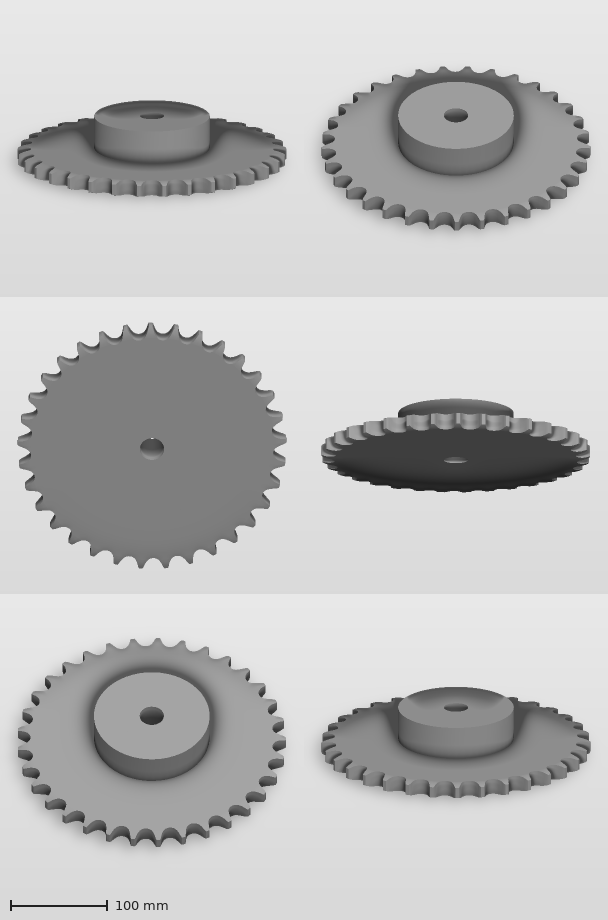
import cadquery as cq
import math

tooth_count = 33
outer_width = 278.3
tip_half_angle = 0.8
pitch_radius = 133.5
roller_diameter = 16.0
seat_clearance = 0.04
rim_width = 16.1
tip_relief = 2.5
relief_start_radius = 128.0
hub_diameter = 120.0
bore_diameter = 25.0
overall_height = 50.0

corner_lean = math.radians(360 / tooth_count / 4 - tip_half_angle)
tip_radius = outer_width / 2 / math.cos(corner_lean)

seat_radius = roller_diameter / 2 + seat_clearance
seat_end_angle = math.radians(55 - 60 / tooth_count)
working_sweep = math.radians(18 - 56 / tooth_count)
flank_angle = seat_end_angle + working_sweep
topping_tilt = math.radians(17 - 64 / tooth_count)
working_offset = 0.8 * roller_diameter
topping_offset = 1.4 * roller_diameter
working_radius = seat_radius + working_offset
flank_length = topping_offset * math.sin(topping_tilt) - working_offset * math.sin(working_sweep)
topping_radius = (
    topping_offset * math.cos(topping_tilt)
    + working_offset * math.cos(working_sweep)
    - working_radius
)
topping_sweep = math.radians(25)


def make_rim():
    """Disc whose two faces curve inwards towards the outer edge, tangent to the flat faces."""
    relief_length = tip_radius - relief_start_radius
    relief_arc_radius = (relief_length**2 + tip_relief**2) / (2 * tip_relief)
    middle = math.asin(relief_length / relief_arc_radius) / 2
    middle_radius = relief_start_radius + relief_arc_radius * math.sin(middle)
    middle_drop = relief_arc_radius * (1 - math.cos(middle))
    half_section = (
        cq.Workplane("XZ")
        .lineTo(relief_start_radius, 0)
        .threePointArc((middle_radius, middle_drop), (tip_radius, tip_relief))
        .lineTo(tip_radius, rim_width - tip_relief)
        .threePointArc((middle_radius, rim_width - middle_drop), (relief_start_radius, rim_width))
        .lineTo(0, rim_width)
        .close()
    )
    return half_section.revolve(360, (0, 0, 0), (0, 1, 0))


def point_at(center, radius, angle):
    """Point at a distance from a centre, with the angle measured from -Y towards +X."""
    return center[0] + radius * math.sin(angle), center[1] - radius * math.cos(angle)


def mirrored(point):
    return -point[0], point[1]


def make_tooth_gap():
    """Cutter for the gap on +Y, drawn from the left mouth through the seat to the right mouth."""
    seat_center = (0, pitch_radius)
    seat_bottom = point_at(seat_center, seat_radius, 0)
    seat_end = point_at(seat_center, seat_radius, seat_end_angle)

    working_center = point_at(seat_center, -working_offset, seat_end_angle)
    working_middle = point_at(working_center, working_radius, seat_end_angle + working_sweep / 2)
    working_end = point_at(working_center, working_radius, flank_angle)

    flank_end = point_at(working_end, flank_length, flank_angle + math.pi / 2)

    topping_center = point_at(flank_end, topping_radius, flank_angle)
    topping_middle = point_at(topping_center, -topping_radius, flank_angle - topping_sweep / 2)
    topping_end = point_at(topping_center, -topping_radius, flank_angle - topping_sweep)

    return (
        cq.Workplane("XY")
        .moveTo(*mirrored(topping_end))
        .threePointArc(mirrored(topping_middle), mirrored(flank_end))
        .lineTo(*mirrored(working_end))
        .threePointArc(mirrored(working_middle), mirrored(seat_end))
        .threePointArc(seat_bottom, seat_end)
        .threePointArc(working_middle, working_end)
        .lineTo(*flank_end)
        .threePointArc(topping_middle, topping_end)
        .close()
        .extrude(rim_width)
    )


rim = make_rim()
gap = make_tooth_gap()
for index in range(tooth_count):
    rim = rim.cut(gap.rotate((0, 0, 0), (0, 0, 1), index * 360 / tooth_count))

hub = cq.Workplane("XY").circle(hub_diameter / 2).extrude(overall_height)
bore = cq.Workplane("XY").circle(bore_diameter / 2).extrude(overall_height)
result = rim.union(hub).cut(bore)